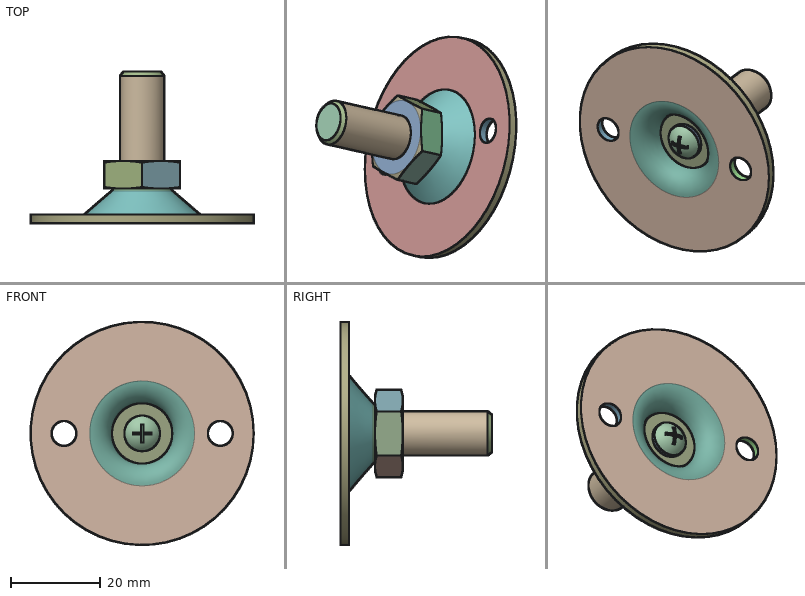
import cadquery as cq
import math


plate_diameter = 50.0
plate_thickness = 2.0
mount_hole_diameter = 5.5
mount_hole_spacing = 35.0

cone_base_diameter = 26.0
cone_crease_diameter = 13.7
cone_crease_y = 7.3
cone_top_diameter = 13.0
recess_floor_diameter = 13.5
recess_depth = 5.0
flare_radius = recess_depth

nut_start_y = 7.75
nut_end_y = 14.0
nut_across_flats = 17.0
nut_across_corners = nut_across_flats / math.cos(math.radians(30))
nut_face_diameter = 16.8
nut_chamfer_angle = 15.0

stud_diameter = 10.0
stud_end_y = 34.0
stud_chamfer_length = 1.0
stud_end_diameter = 8.4

head_diameter = 8.0
head_rim_height = 1.0
head_dome_height = 2.2
slot_length = 4.1
slot_width = 0.5
slot_depth = 1.0


def revolve_about_y(profile):
    """Turn a closed XY profile a full circle about the Y axis."""
    return profile.close().revolve(360, (0, 0, 0), (0, 1, 0))


def cylinder_along_y(diameter, start_y, end_y, x=0.0):
    """Cylinder along Y between two Y positions."""
    base = cq.Workplane("XZ", origin=(x, start_y, 0))
    return base.circle(diameter / 2).extrude(start_y - end_y)


def make_plate():
    """Plate and cone in one profile, with the recess flaring out to the front face."""
    floor_r = recess_floor_diameter / 2
    mouth_r = floor_r + flare_radius
    diagonal = flare_radius * math.cos(math.radians(45))
    flare_middle = (mouth_r - diagonal, recess_depth - diagonal)
    profile = (
        cq.Workplane("XY")
        .moveTo(0, recess_depth)
        .lineTo(floor_r, recess_depth)
        .threePointArc(flare_middle, (mouth_r, 0))
        .lineTo(plate_diameter / 2, 0)
        .lineTo(plate_diameter / 2, plate_thickness)
        .lineTo(cone_base_diameter / 2, plate_thickness)
        .lineTo(cone_crease_diameter / 2, cone_crease_y)
        .lineTo(cone_top_diameter / 2, nut_start_y)
        .lineTo(0, nut_start_y)
    )
    plate = revolve_about_y(profile)
    for side in (-1, 1):
        hole_x = side * mount_hole_spacing / 2
        plate = plate.cut(cylinder_along_y(mount_hole_diameter, 0, plate_thickness, hole_x))
    return plate


def make_nut():
    """Hexagon with flats facing +X and -X, corners chamfered on both faces."""
    height = nut_end_y - nut_start_y
    hexagon = (
        cq.Workplane("XZ", origin=(0, nut_start_y, 0))
        .transformed(rotate=(0, 0, 90))
        .polygon(6, nut_across_corners)
        .extrude(-height)
    )
    face_r = nut_face_diameter / 2
    corner_r = nut_across_corners / 2
    chamfer_height = (corner_r - face_r) * math.tan(math.radians(nut_chamfer_angle))
    envelope = revolve_about_y(
        cq.Workplane("XY")
        .moveTo(0, nut_start_y)
        .lineTo(face_r, nut_start_y)
        .lineTo(corner_r, nut_start_y + chamfer_height)
        .lineTo(corner_r, nut_end_y - chamfer_height)
        .lineTo(face_r, nut_end_y)
        .lineTo(0, nut_end_y)
    )
    return hexagon.intersect(envelope)


def make_stud():
    """Plain shank with a chamfered free end."""
    stud = cylinder_along_y(stud_diameter, nut_start_y, stud_end_y)
    chamfer_inset = (stud_diameter - stud_end_diameter) / 2
    return stud.faces(">Y").chamfer(stud_chamfer_length, chamfer_inset)


def make_screw_head():
    """Short rim topped by a spherical dome, pointing towards -Y."""
    head_r = head_diameter / 2
    rim_y = recess_depth - head_rim_height
    apex_y = rim_y - head_dome_height
    dome_radius = (head_r**2 + head_dome_height**2) / (2 * head_dome_height)
    half_angle = math.asin(head_r / dome_radius) / 2
    dome_middle = (
        dome_radius * math.sin(half_angle),
        apex_y + dome_radius * (1 - math.cos(half_angle)),
    )
    head = revolve_about_y(
        cq.Workplane("XY")
        .moveTo(0, recess_depth)
        .lineTo(head_r, recess_depth)
        .lineTo(head_r, rim_y)
        .threePointArc(dome_middle, (0, apex_y))
    )
    slot_plane = cq.Workplane("XZ", origin=(0, apex_y, 0))
    for size_x, size_z in ((slot_length, slot_width), (slot_width, slot_length)):
        head = head.cut(slot_plane.rect(size_x, size_z).extrude(-slot_depth))
    return head


result = make_plate().union(make_nut()).union(make_stud()).union(make_screw_head())